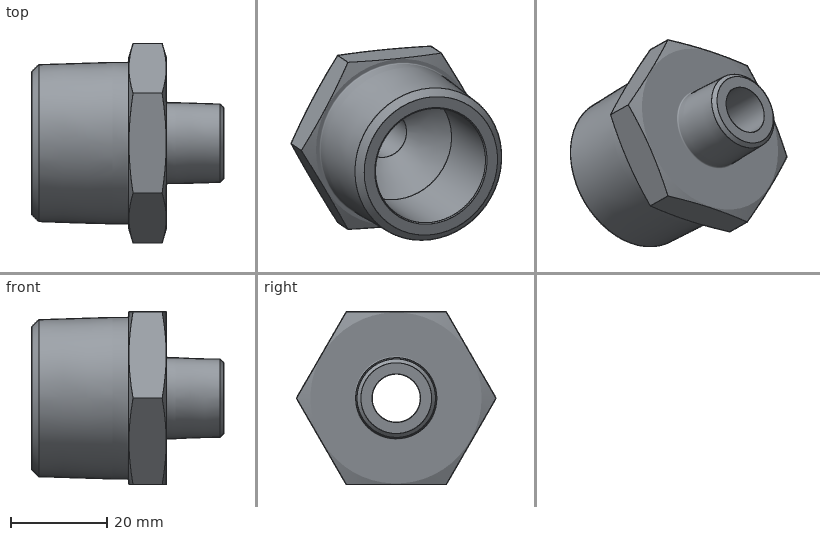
import cadquery as cq
import math

total_length = 40.0
hex_start = 20.2
hex_end = 28.05

across_flats = 36.0
across_corners = across_flats / math.cos(math.radians(30))
hex_chamfer_circle = 35.6
hex_chamfer_depth = 0.9
root_fillet = 0.25

taper = 1 / 16
large_diameter = 33.65
large_taper_start = 16.87
large_chamfer = 1.5
small_diameter = 16.89
small_taper_start = 30.0
small_chamfer = 0.8

large_bore = 24.5
large_bore_depth = 20.0
bore_edge_chamfer = 0.25
small_bore = 10.0
bore_cone_angle = 90.0


def revolve_about_x(profile):
    """Revolve a closed profile drawn as (x, radius) about the X axis."""
    return profile.close().revolve(360, (0, 0, 0), (1, 0, 0))


def make_hexagon():
    """Hexagon with flats facing +Z and -Z and conically chamfered corners."""
    prism = (
        cq.Workplane("YZ", origin=(hex_start, 0, 0))
        .polygon(6, across_corners)
        .extrude(hex_end - hex_start)
    )
    circle_radius = hex_chamfer_circle / 2
    corner_radius = across_corners / 2
    envelope = revolve_about_x(
        cq.Workplane("XY")
        .moveTo(hex_start, 0)
        .lineTo(hex_start, circle_radius)
        .lineTo(hex_start + hex_chamfer_depth, corner_radius)
        .lineTo(hex_end - hex_chamfer_depth, corner_radius)
        .lineTo(hex_end, circle_radius)
        .lineTo(hex_end, 0)
    )
    return prism.intersect(envelope)


def make_tapered_end(hex_face, taper_start, tip, diameter, chamfer):
    """Male end from a hexagon face to its tip: root fillet, cylinder, taper, 45 degree chamfer."""
    outward = math.copysign(1, tip - hex_face)
    radius = diameter / 2
    taper_end = tip - outward * chamfer
    taper_end_radius = radius - abs(taper_end - taper_start) * taper / 2
    fillet_middle = root_fillet * (1 - math.sqrt(0.5))
    return revolve_about_x(
        cq.Workplane("XY")
        .moveTo(hex_face, 0)
        .lineTo(hex_face, radius + root_fillet)
        .threePointArc(
            (hex_face + outward * fillet_middle, radius + fillet_middle),
            (hex_face + outward * root_fillet, radius),
        )
        .lineTo(taper_start, radius)
        .lineTo(taper_end, taper_end_radius)
        .lineTo(tip, taper_end_radius - chamfer)
        .lineTo(tip, 0)
    )


def make_bore():
    """Large bore with a chamfered mouth, narrowing through a cone to the small through bore."""
    large_radius = large_bore / 2
    small_radius = small_bore / 2
    cone_length = (large_radius - small_radius) / math.tan(math.radians(bore_cone_angle / 2))
    return revolve_about_x(
        cq.Workplane("XY")
        .moveTo(0, 0)
        .lineTo(0, large_radius + bore_edge_chamfer)
        .lineTo(bore_edge_chamfer, large_radius)
        .lineTo(large_bore_depth, large_radius)
        .lineTo(large_bore_depth + cone_length, small_radius)
        .lineTo(total_length, small_radius)
        .lineTo(total_length, 0)
    )


large_end = make_tapered_end(hex_start, large_taper_start, 0, large_diameter, large_chamfer)
small_end = make_tapered_end(hex_end, small_taper_start, total_length, small_diameter, small_chamfer)
result = make_hexagon().union(large_end).union(small_end).cut(make_bore())